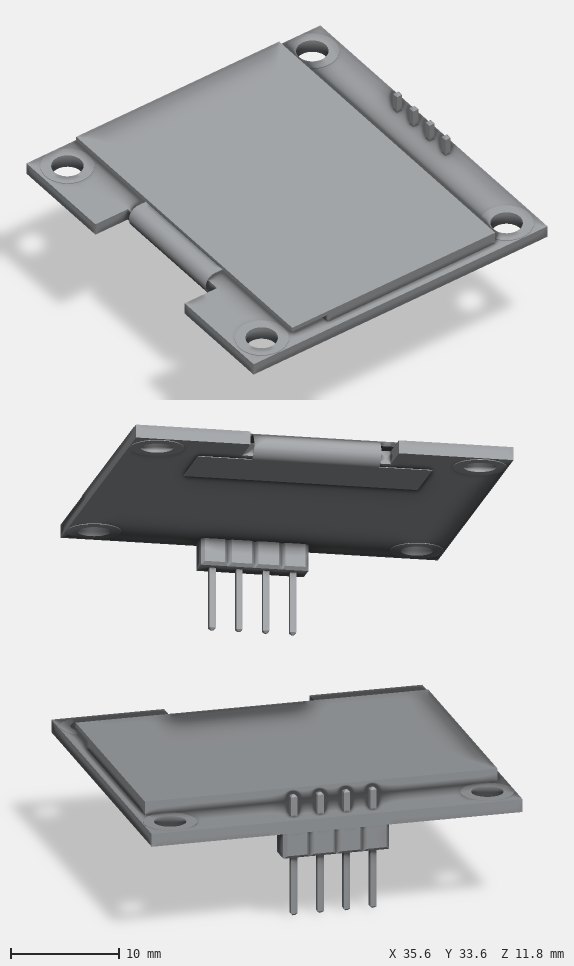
import cadquery as cq

BOARD_WIDTH = 35.65
BOARD_DEPTH = 33.6
BOARD_THICKNESS = 1.25
NOTCH_WIDTH = 14.0
NOTCH_DEPTH = 3.7
HOLE_SPACING_X = 30.5
HOLE_SPACING_Y = 28.0
HOLE_DIAMETER = 3.0
PAD_DIAMETER = 5.0
PAD_THICKNESS = 0.06

PANEL_WIDTH = 33.9
GLASS_DEPTH = 23.2
GLASS_THICKNESS = 0.45
BACKING_DEPTH = 19.15
BACKING_THICKNESS = 0.85
PANEL_REAR_MARGIN = 5.35

FLEX_WIDTH = 12.0
FLEX_THICKNESS = 0.06
FLEX_BEND_RADIUS = 1.09
FLEX_BEND_START_Y = -12.6
TAIL_WIDTH = 22.1
TAIL_DEPTH = 6.55
TAIL_CLEARANCE = 0.15

PIN_COUNT = 4
PIN_PITCH = 2.54
PIN_SIZE = 0.6
PIN_LENGTH = 11.8
PIN_TIP_CHAMFER = 0.2
PIN_ABOVE_BOARD = 2.1
PIN_REAR_MARGIN = 1.38
HOUSING_DEPTH = 2.65
HOUSING_HEIGHT = 2.5
HOUSING_CORNER_CHAMFER = 0.32
HOUSING_BOTTOM_CHAMFER = 0.3

BOARD_REAR_Y = BOARD_DEPTH / 2
PANEL_REAR_Y = BOARD_REAR_Y - PANEL_REAR_MARGIN
GLASS_FRONT_Y = PANEL_REAR_Y - GLASS_DEPTH
GLASS_BOTTOM_Z = BOARD_THICKNESS + BACKING_THICKNESS
PIN_Y = BOARD_REAR_Y - PIN_REAR_MARGIN
PIN_XS = [(i - (PIN_COUNT - 1) / 2) * PIN_PITCH for i in range(PIN_COUNT)]


def block(width, depth, height, x, rear_y, bottom_z):
    """Box centred on x, reaching forward from rear_y and up from bottom_z."""
    box = cq.Workplane("XY").box(width, depth, height, centered=(True, True, False))
    return box.translate((x, rear_y - depth / 2, bottom_z))


def make_board():
    """Board with front notch, plated mounting holes and square pin holes."""
    board = block(BOARD_WIDTH, BOARD_DEPTH, BOARD_THICKNESS, 0, BOARD_REAR_Y, 0)
    notch_rear_y = NOTCH_DEPTH - BOARD_DEPTH / 2
    board = board.cut(block(NOTCH_WIDTH, NOTCH_DEPTH, BOARD_THICKNESS, 0, notch_rear_y, 0))

    plated_thickness = BOARD_THICKNESS + 2 * PAD_THICKNESS
    corners = cq.Workplane("XY", origin=(0, 0, -PAD_THICKNESS)).rect(
        HOLE_SPACING_X, HOLE_SPACING_Y, forConstruction=True
    ).vertices()
    board = board.union(corners.circle(PAD_DIAMETER / 2).extrude(plated_thickness))
    board = board.cut(corners.circle(HOLE_DIAMETER / 2).extrude(plated_thickness))

    for x in PIN_XS:
        board = board.cut(block(PIN_SIZE, PIN_SIZE, BOARD_THICKNESS, x, PIN_Y + PIN_SIZE / 2, 0))
    return board


def make_flex():
    """U-shaped strip, level with the glass underside, with a wider tail just below the board."""
    top_z = GLASS_BOTTOM_Z + FLEX_THICKNESS
    bottom_z = -TAIL_CLEARANCE - FLEX_THICKNESS
    inner_radius = FLEX_BEND_RADIUS - FLEX_THICKNESS
    tip_y = FLEX_BEND_START_Y - FLEX_BEND_RADIUS
    upper_center_z = top_z - FLEX_BEND_RADIUS
    lower_center_z = bottom_z + FLEX_BEND_RADIUS
    strip = (
        cq.Workplane("YZ", origin=(-FLEX_WIDTH / 2, 0, 0))
        .moveTo(GLASS_FRONT_Y, top_z)
        .lineTo(FLEX_BEND_START_Y, top_z)
        .radiusArc((tip_y, upper_center_z), -FLEX_BEND_RADIUS)
        .lineTo(tip_y, lower_center_z)
        .radiusArc((FLEX_BEND_START_Y, bottom_z), -FLEX_BEND_RADIUS)
        .lineTo(FLEX_BEND_START_Y, -TAIL_CLEARANCE)
        .radiusArc((tip_y + FLEX_THICKNESS, lower_center_z), inner_radius)
        .lineTo(tip_y + FLEX_THICKNESS, upper_center_z)
        .radiusArc((FLEX_BEND_START_Y, top_z - FLEX_THICKNESS), inner_radius)
        .lineTo(GLASS_FRONT_Y, top_z - FLEX_THICKNESS)
        .close()
        .extrude(FLEX_WIDTH)
    )
    tail_rear_y = FLEX_BEND_START_Y + TAIL_DEPTH
    return strip.union(block(TAIL_WIDTH, TAIL_DEPTH, FLEX_THICKNESS, 0, tail_rear_y, bottom_z))


def make_display():
    """Cover glass, backing block and flexible cable as one body."""
    glass = block(PANEL_WIDTH, GLASS_DEPTH, GLASS_THICKNESS, 0, PANEL_REAR_Y, GLASS_BOTTOM_Z)
    backing = block(PANEL_WIDTH, BACKING_DEPTH, BACKING_THICKNESS, 0, PANEL_REAR_Y, BOARD_THICKNESS)
    return glass.union(backing).union(make_flex())


def make_header():
    """Row of chamfered housing cells, each with a pin through it."""
    pin_bottom_z = BOARD_THICKNESS + PIN_ABOVE_BOARD - PIN_LENGTH
    header = cq.Workplane("XY")
    for x in PIN_XS:
        cell = block(PIN_PITCH, HOUSING_DEPTH, HOUSING_HEIGHT, x, PIN_Y + HOUSING_DEPTH / 2, -HOUSING_HEIGHT)
        corner_cut_cell = cell.edges("|Z").chamfer(HOUSING_CORNER_CHAMFER)
        bottom_cut_cell = cell.faces("<Z").edges("|X").chamfer(HOUSING_BOTTOM_CHAMFER)
        cell = corner_cut_cell.intersect(bottom_cut_cell)
        pin = block(PIN_SIZE, PIN_SIZE, PIN_LENGTH, x, PIN_Y + PIN_SIZE / 2, pin_bottom_z)
        pin = pin.faces("<Z or >Z").chamfer(PIN_TIP_CHAMFER)
        header = header.union(cell).union(pin)
    return header


board = make_board()
display = make_display()
header = make_header()

result = cq.Compound.makeCompound([*board.solids().vals(), *display.solids().vals(), *header.solids().vals()])